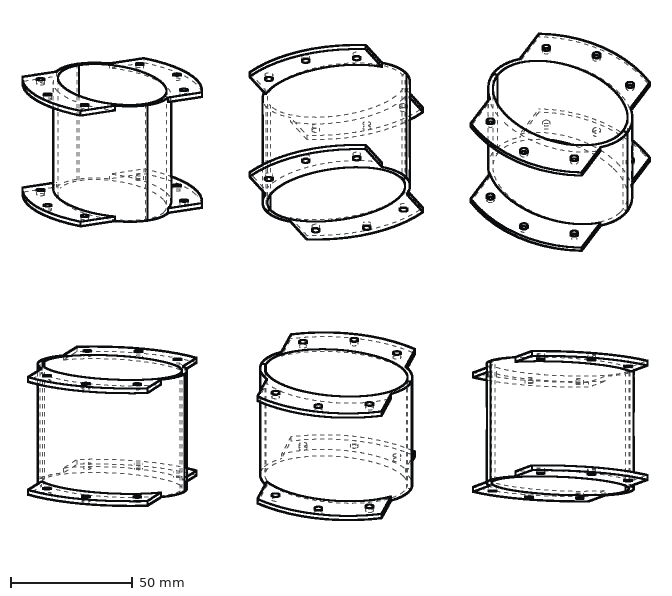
import cadquery as cq

height = 50.0
wall = 2.0
outer_radius_x = 64.0 / 2
inner_radius_x = outer_radius_x - wall
inner_radius_y = 20.0
outer_radius_y = inner_radius_y + wall

flange_reach = 69.9 / 2
flange_width = 52.9
flange_corner_y = 28.2

hole_diameter = 3.2
middle_hole_y = 30.0
side_hole_x = 20.0
side_hole_y = 23.0


def elliptical_cylinder(radius_x, radius_y):
    """Full-height elliptical cylinder centred on the origin."""
    return cq.Workplane("XY").ellipse(radius_x, radius_y).extrude(height).translate((0, 0, -height / 2))


def flange(bottom_z):
    """Flat plate from the joint plane out to its arched edge, with three bolt holes."""
    half_width = flange_width / 2
    plate = (
        cq.Workplane("XY", origin=(0, 0, bottom_z))
        .moveTo(-half_width, 0)
        .lineTo(half_width, 0)
        .lineTo(half_width, flange_corner_y)
        .threePointArc((0, flange_reach), (-half_width, flange_corner_y))
        .close()
        .extrude(wall)
    )
    hole_centers = [(0, middle_hole_y), (-side_hole_x, side_hole_y), (side_hole_x, side_hole_y)]
    holes = (
        cq.Workplane("XY", origin=(0, 0, bottom_z))
        .pushPoints(hole_centers)
        .circle(hole_diameter / 2)
        .extrude(wall)
    )
    return plate.cut(holes)


def half_shell(turn):
    """Half of the sleeve with a flange at each end, turned about Z by the given angle."""
    positive_y_side = cq.Workplane("XY").box(
        2 * outer_radius_x, flange_reach, height, centered=(True, False, True)
    )
    body = elliptical_cylinder(outer_radius_x, outer_radius_y).intersect(positive_y_side)
    for bottom_z in (-height / 2, height / 2 - wall):
        body = body.union(flange(bottom_z))
    body = body.cut(elliptical_cylinder(inner_radius_x, inner_radius_y))
    return body.rotate((0, 0, 0), (0, 0, 1), turn)


half_shells = [half_shell(turn) for turn in (0, 180)]

result = cq.Compound.makeCompound([half.solids().val() for half in half_shells])